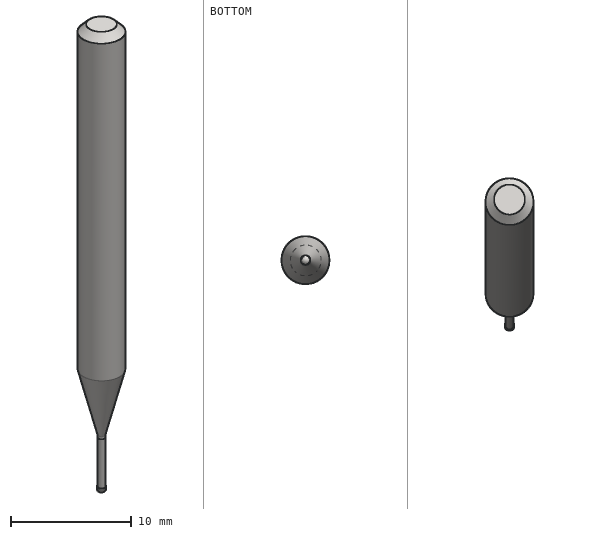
import cadquery as cq

total_length = 45.0
shank_radius = 2.002
top_chamfer = 0.7
cone_bottom_z = 5.55
cone_top_z = 11.9

ball_radius = 0.4
land_top_z = 0.55
neck_radius = 0.338
cutter_length = 5.25


def revolve_about_z(profile):
    """Turn a closed XZ half-profile into a solid of revolution."""
    return profile.revolve(360, (0, 0, 0), (0, 1, 0))


def make_cutter():
    """Cutter: a hemisphere with a short land, stepping in to a thinner neck."""
    diagonal = ball_radius * 0.5 ** 0.5
    profile = (
        cq.Workplane("XZ")
        .moveTo(0, 0)
        .threePointArc((diagonal, ball_radius - diagonal), (ball_radius, ball_radius))
        .lineTo(ball_radius, land_top_z)
        .lineTo(neck_radius, land_top_z)
        .lineTo(neck_radius, cutter_length)
        .lineTo(0, cutter_length)
        .close()
    )
    return revolve_about_z(profile)


def make_shank():
    """Shank: a short stub continuing the neck, a cone and a chamfered cylinder."""
    profile = (
        cq.Workplane("XZ")
        .moveTo(0, cutter_length)
        .lineTo(neck_radius, cutter_length)
        .lineTo(neck_radius, cone_bottom_z)
        .lineTo(shank_radius, cone_top_z)
        .lineTo(shank_radius, total_length - top_chamfer)
        .lineTo(shank_radius - top_chamfer, total_length)
        .lineTo(0, total_length)
        .close()
    )
    return revolve_about_z(profile)


cutter = make_cutter()
shank = make_shank()

result = cq.Compound.makeCompound([cutter.val(), shank.val()])